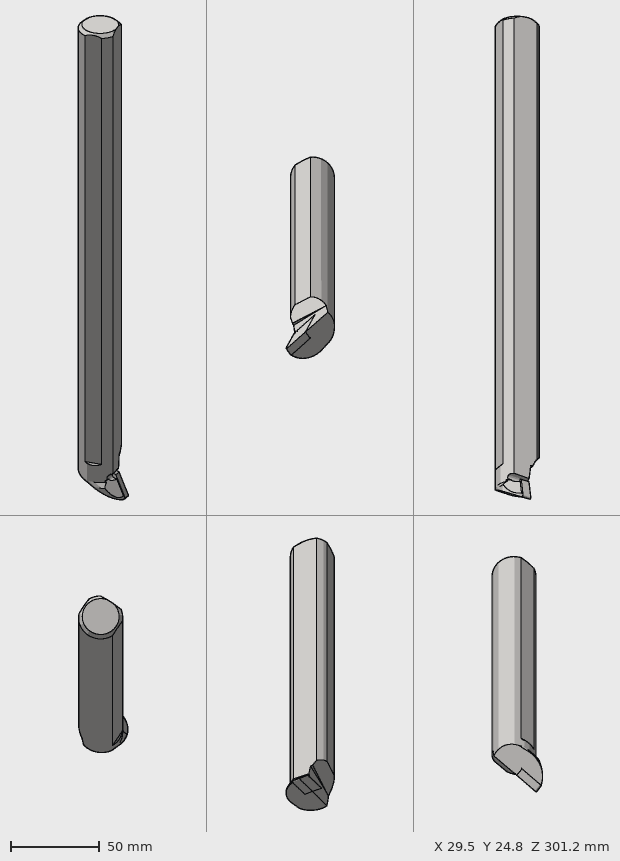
import cadquery as cq
import math

TOP_Z = 301.2
SHANK_DIAMETER = 25.0
SHANK_RADIUS = SHANK_DIAMETER / 2
SIDE_FLAT = 11.5
TOOL_FLAT = 10.2
TOP_CHAMFER = 2.0
FRONT_FLAT_END_Z = 24.5

HEAD_RADIUS = 13.3
HEAD_OFFSET = 4.0
HEAD_TOP_Z = 12.7
FLARE_HEIGHT = 2.7

GULLET_FLOOR_Y = 4.8
GULLET_FLOOR_Z = 24.5
GULLET_TOP_Z = 32.5
GULLET_SAG = 0.5

INSERT_EDGE = 16.5
INSERT_ANGLE = 35.0
INSERT_THICKNESS = 4.8
NOSE_RADIUS = 0.8
LOWER_EDGE_ANGLE = 28.0
HEEL_ANGLE = 26.0
RAKE_SLOPE_X = -0.07
RAKE_SLOPE_Z = 0.13
OVERALL_WIDTH = 29.5
NOSE_REACH_X = OVERALL_WIDTH - SHANK_RADIUS
RELIEF_DIAMETER = 4.5
FLANK_RELIEF_DEPTH = 5.7
FLANK_RELIEF_ANGLE = 27.0

CUT = 90.5

rake = cq.Plane(
    origin=(NOSE_REACH_X - NOSE_RADIUS, 0, NOSE_RADIUS),
    xDir=(1, RAKE_SLOPE_X, 0),
    normal=(RAKE_SLOPE_X, -1, RAKE_SLOPE_Z),
)


def polar(start, angle, length):
    """Point at a given angle in degrees and distance from a start point."""
    turn = math.radians(angle)
    return (start[0] + length * math.cos(turn), start[1] + length * math.sin(turn))


lower_direction = 180 - LOWER_EDGE_ANGLE
flank_direction = lower_direction - INSERT_ANGLE
nose_distance = NOSE_RADIUS / math.sin(math.radians(INSERT_ANGLE / 2))
nose = polar((0, 0), lower_direction - INSERT_ANGLE / 2, -nose_distance)
lower_corner = polar(nose, lower_direction, INSERT_EDGE)
flank_corner = polar(nose, flank_direction, INSERT_EDGE)
far_corner = polar(lower_corner, flank_direction, INSERT_EDGE)


def round_nose(solid, depth):
    """Round the edge along the nose whose middle lies at a depth behind the rake face."""
    middle = rake.toWorldCoords((nose[0], nose[1], depth)).toTuple()
    return solid.edges(cq.selectors.NearestToPointSelector(middle)).fillet(NOSE_RADIUS)


def make_insert():
    outline = cq.Workplane(rake).polyline([nose, flank_corner, far_corner, lower_corner]).close()
    return round_nose(outline.extrude(INSERT_THICKNESS), INSERT_THICKNESS / 2)


def make_shank():
    shank = (
        cq.Workplane("XY", origin=(0, 0, HEAD_TOP_Z))
        .circle(SHANK_RADIUS)
        .extrude(TOP_Z - HEAD_TOP_Z)
        .faces(">Z")
        .chamfer(TOP_CHAMFER)
    )
    tool_side = cq.Workplane("XY").box(CUT, CUT, TOP_Z, centered=(False, True, False))
    back_side = cq.Workplane("XY").box(CUT, CUT, TOP_Z, centered=(True, False, False))
    run_out = SHANK_RADIUS - SIDE_FLAT
    front_side = (
        cq.Workplane("YZ")
        .polyline([
            (-SIDE_FLAT, TOP_Z),
            (-SIDE_FLAT, FRONT_FLAT_END_Z),
            (-SIDE_FLAT - run_out, FRONT_FLAT_END_Z - run_out),
            (-SIDE_FLAT - run_out, TOP_Z),
        ])
        .close()
        .extrude(CUT / 2, both=True)
    )
    shank = shank.cut(tool_side.translate((TOOL_FLAT, 0, 0)))
    shank = shank.cut(back_side.translate((0, SIDE_FLAT, 0)))
    return shank.cut(front_side)


def make_head():
    flare = (
        cq.Workplane("XY", origin=(HEAD_OFFSET, 0, HEAD_TOP_Z - FLARE_HEIGHT))
        .circle(HEAD_RADIUS)
        .workplane(offset=FLARE_HEIGHT)
        .center(-HEAD_OFFSET, 0)
        .circle(SHANK_RADIUS)
        .loft()
    )
    barrel = (
        cq.Workplane("XY", origin=(HEAD_OFFSET, 0, 0))
        .circle(HEAD_RADIUS)
        .extrude(HEAD_TOP_Z - FLARE_HEIGHT)
    )
    return flare.union(barrel)


def gullet():
    chord_y = SIDE_FLAT - GULLET_FLOOR_Y
    chord_z = GULLET_TOP_Z - GULLET_FLOOR_Z
    chord = math.hypot(chord_y, chord_z)
    middle = (
        (SIDE_FLAT + GULLET_FLOOR_Y) / 2 - GULLET_SAG * chord_z / chord,
        (GULLET_TOP_Z + GULLET_FLOOR_Z) / 2 + GULLET_SAG * chord_y / chord,
    )
    return (
        cq.Workplane("YZ")
        .moveTo(GULLET_FLOOR_Y, -CUT)
        .lineTo(GULLET_FLOOR_Y, GULLET_FLOOR_Z)
        .threePointArc(middle, (SIDE_FLAT, GULLET_TOP_Z))
        .lineTo(CUT, GULLET_TOP_Z)
        .lineTo(CUT, -CUT)
        .close()
        .extrude(CUT / 2, both=True)
    )


def rake_clearance():
    """Space in front of the rake face, up to the top of the gullet floor."""
    ceiling = GULLET_FLOOR_Z - NOSE_RADIUS
    block = cq.Workplane(rake).polyline([
        (-CUT, -CUT), (CUT, -CUT), (CUT, ceiling), (-CUT, ceiling),
    ])
    return block.close().extrude(-CUT / 2)


def flank_clearance():
    """Space below the lower edge and outside the flank, continuing both insert edges."""
    heel_end = polar(lower_corner, 180 - HEEL_ANGLE, CUT)
    outline = [
        heel_end,
        lower_corner,
        nose,
        flank_corner,
        (CUT, flank_corner[1]),
        (CUT, -CUT),
        (heel_end[0], -CUT),
    ]
    block = cq.Workplane(rake).polyline(outline).close().extrude(CUT)
    return round_nose(block, CUT / 2)


def flank_relief():
    """Wedge that leans the head flank back from the insert flank, behind the insert."""
    turn = math.radians(flank_direction)
    edge = cq.Plane(
        origin=rake.toWorldCoords((nose[0], nose[1], 0)).toTuple(),
        xDir=(rake.xDir * math.sin(turn) - rake.yDir * math.cos(turn)).toTuple(),
        normal=(rake.xDir * math.cos(turn) + rake.yDir * math.sin(turn)).toTuple(),
    )
    lean = CUT * math.tan(math.radians(FLANK_RELIEF_ANGLE))
    wedge = cq.Workplane(edge).polyline([
        (0, -FLANK_RELIEF_DEPTH),
        (CUT, -FLANK_RELIEF_DEPTH),
        (CUT, -FLANK_RELIEF_DEPTH - CUT),
        (-lean, -FLANK_RELIEF_DEPTH - CUT),
    ]).close()
    return wedge.extrude(INSERT_EDGE)


def corner_relief():
    return (
        cq.Workplane(rake)
        .center(*flank_corner)
        .circle(RELIEF_DIAMETER / 2)
        .extrude(CUT / 2, both=True)
    )


insert = make_insert()

holder = make_shank().union(make_head())
cutters = (gullet(), rake_clearance(), flank_clearance(), flank_relief(), corner_relief(), insert)
for cutter in cutters:
    holder = holder.cut(cutter)

result = cq.Compound.makeCompound([holder.solids().val(), insert.solids().val()])